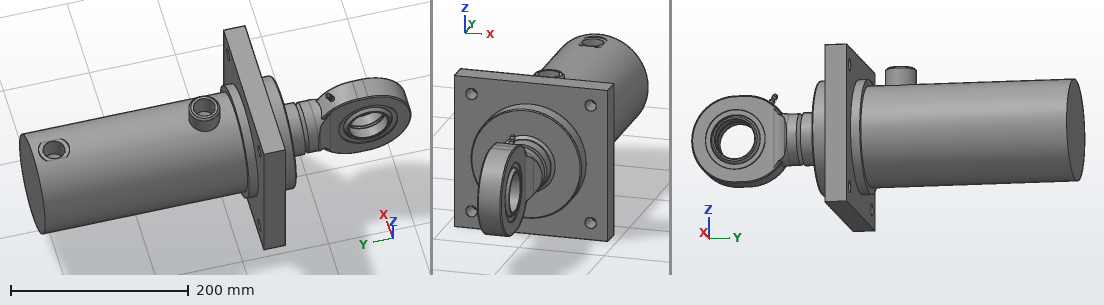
import cadquery as cq
import math

LENGTH = 437.0

EYE_RADIUS = 100.0 / 2
EYE_WIDTH = 28.0
EYE_STRETCH = 12.0
EYE_CHAMFER = 1.5
SHANK_RADIUS = 58.0 / 2
NECK_Y = 61.5
NECK_END_RADIUS = 31.0
WELD_CHAMFER = 5.0
NECK_BALL_RADIUS = EYE_RADIUS - EYE_CHAMFER
FLARE_START_Y = 44.0
FLARE_RADIUS = 16.5
FLARE_ANGLE = math.radians(53)

BEARING_SEAT_DIAMETER = 68.0
BEARING_SEAT_DEPTH = 1.55
SPHERE_RADIUS = 60.0 / 2
RACE_MOUTH_RADIUS = 57.0 / 2
RACE_MOUTH_DEPTH = 1.7
INNER_RING_WIDTH = 32.0
BORE_DIAMETER = 45.0
BORE_CHAMFER = 1.0
OIL_GROOVE_WIDTH = 3.0
OIL_GROOVE_DEPTH = 1.0

NIPPLE_ANGLE = 58.0
NIPPLE_BASE_RADIUS = 6.0 / 2
NIPPLE_NECK_RADIUS = 3.6 / 2
NIPPLE_HEAD_RADIUS = 5.5 / 2
NIPPLE_TIP_RADIUS = 3.0 / 2
NIPPLE_BASE_HEIGHT = 3.5
NIPPLE_NECK_HEIGHT = 6.0
NIPPLE_HEAD_HEIGHT = 9.0
NIPPLE_HEIGHT = 11.5

ROD_RADIUS = 60.0 / 2
ROD_FRONT_Y = 77.5

TUBE_RADIUS = 115.0 / 2
TUBE_END_Y = LENGTH - EYE_RADIUS
COLLAR_RADIUS = 130.0 / 2
COLLAR_FRONT_Y = 96.5
COLLAR_LENGTH = 55.0
COLLAR_CHAMFER = 1.5
WIPER_BASE_RADIUS = 68.0 / 2
WIPER_LIP_RADIUS = 30.5
WIPER_LENGTH = 3.5
PLATE_SIDE = 180.0
PLATE_FRONT_Y = 116.2
PLATE_THICKNESS = 25.0
BOLT_SPACING = 140.0
BOLT_HOLE_DIAMETER = 13.0
CHAMBER_RADIUS = 100.0 / 2
CHAMBER_FRONT_Y = 190.5
END_CAP_THICKNESS = 41.5
CHAMBER_BACK_Y = TUBE_END_Y - END_CAP_THICKNESS

PORT_BOSS_DIAMETER = 35.0
PORT_BOSS_CHAMFER = 2.0
PORT_HOLE_RADIUS = 24.5 / 2
PORT_HOLE_DEPTH = 24.0
DRILL_HALF_ANGLE = math.radians(59)
FRONT_PORT_Y = 187.0
FRONT_PORT_TOP_Z = 77.0
BACK_PORT_Y = 362.0
BACK_PORT_FLAT_DEPTH = 1.55
BACK_PORT_FLAT_Z = TUBE_RADIUS - BACK_PORT_FLAT_DEPTH


def cylinder_along_y(radius, start_y, end_y):
    return cq.Workplane("XZ", origin=(0, start_y, 0)).circle(radius).extrude(start_y - end_y)


def revolve_about_y(points):
    """Revolve an outline of (radius, y) points about the Y axis."""
    return cq.Workplane("XY").polyline(points).close().revolve(360, (0, 0, 0), (0, 1, 0))


def port_drill(port_y, top_z):
    """Blind port hole with a conical bottom."""
    cone_z = top_z - PORT_HOLE_DEPTH
    tip_z = cone_z - PORT_HOLE_RADIUS / math.tan(DRILL_HALF_ANGLE)
    outline = [(0, top_z), (PORT_HOLE_RADIUS, top_z), (PORT_HOLE_RADIUS, cone_z), (0, tip_z)]
    drill = cq.Workplane("XZ").polyline(outline).close().revolve(360, (0, 0, 0), (0, 1, 0))
    return drill.translate((0, port_y, 0))


def mounting_plate():
    plate = cq.Workplane("XZ", origin=(0, PLATE_FRONT_Y, 0))
    plate = plate.rect(PLATE_SIDE, PLATE_SIDE).extrude(-PLATE_THICKNESS)
    holes = (
        cq.Workplane("XZ", origin=(0, PLATE_FRONT_Y, 0))
        .rect(BOLT_SPACING, BOLT_SPACING, forConstruction=True)
        .vertices()
        .circle(BOLT_HOLE_DIAMETER / 2)
        .extrude(-PLATE_THICKNESS)
    )
    return plate.cut(holes)


def make_housing():
    tube = cylinder_along_y(TUBE_RADIUS, COLLAR_FRONT_Y, TUBE_END_Y)
    collar = cylinder_along_y(COLLAR_RADIUS, COLLAR_FRONT_Y, COLLAR_FRONT_Y + COLLAR_LENGTH)
    collar = collar.faces("<Y").chamfer(COLLAR_CHAMFER)
    wiper_lip_y = COLLAR_FRONT_Y - WIPER_LENGTH
    wiper = revolve_about_y([
        (0, wiper_lip_y),
        (WIPER_LIP_RADIUS, wiper_lip_y),
        (WIPER_BASE_RADIUS, COLLAR_FRONT_Y),
        (0, COLLAR_FRONT_Y),
    ])
    boss = (
        cq.Workplane("XY")
        .center(0, FRONT_PORT_Y)
        .circle(PORT_BOSS_DIAMETER / 2)
        .extrude(FRONT_PORT_TOP_Z)
        .faces(">Z")
        .chamfer(PORT_BOSS_CHAMFER)
    )
    back_port_flat = (
        cq.Workplane("XY", origin=(0, BACK_PORT_Y, BACK_PORT_FLAT_Z))
        .circle(PORT_BOSS_DIAMETER / 2)
        .extrude(BACK_PORT_FLAT_DEPTH)
    )
    housing = tube.union(collar).union(wiper).union(mounting_plate()).union(boss)
    housing = housing.cut(cylinder_along_y(ROD_RADIUS, wiper_lip_y, CHAMBER_BACK_Y))
    housing = housing.cut(cylinder_along_y(CHAMBER_RADIUS, CHAMBER_FRONT_Y, CHAMBER_BACK_Y))
    housing = housing.cut(port_drill(FRONT_PORT_Y, FRONT_PORT_TOP_Z))
    housing = housing.cut(back_port_flat)
    return housing.cut(port_drill(BACK_PORT_Y, BACK_PORT_FLAT_Z))


def make_rod():
    return cylinder_along_y(ROD_RADIUS, ROD_FRONT_Y, CHAMBER_BACK_Y)


def eye_plate():
    """Flat eye whose outline is two half circles joined by short straight sides."""
    slot_centre_y = EYE_STRETCH / 2
    slot_length = EYE_STRETCH + 2 * EYE_RADIUS
    plate = cq.Workplane("YZ").center(slot_centre_y, 0).slot2D(slot_length, 2 * EYE_RADIUS)
    plate = plate.extrude(EYE_WIDTH / 2, both=True)
    return plate.faces("<X or >X").chamfer(EYE_CHAMFER)


def eye_shank():
    """Round shank that flares down to the flat faces of the eye."""
    half_width = EYE_WIDTH / 2
    mid_angle = FLARE_ANGLE / 2

    def flare_point(angle):
        return (
            half_width + FLARE_RADIUS * (1 - math.cos(angle)),
            FLARE_START_Y + FLARE_RADIUS * math.sin(angle),
        )

    shank = revolve_about_y([
        (0, ROD_FRONT_Y),
        (SHANK_RADIUS - WELD_CHAMFER, ROD_FRONT_Y),
        (SHANK_RADIUS, ROD_FRONT_Y - WELD_CHAMFER),
        (SHANK_RADIUS, NECK_Y),
        (NECK_END_RADIUS, FLARE_START_Y),
        (0, FLARE_START_Y),
    ])
    ball = cq.Workplane("XY").sphere(NECK_BALL_RADIUS).translate((0, EYE_STRETCH, 0))
    profile = (
        cq.Workplane("XY", origin=(0, 0, -EYE_RADIUS))
        .moveTo(0, FLARE_START_Y)
        .lineTo(half_width, FLARE_START_Y)
        .threePointArc(flare_point(mid_angle), flare_point(FLARE_ANGLE))
        .lineTo(SHANK_RADIUS, NECK_Y)
        .lineTo(SHANK_RADIUS, ROD_FRONT_Y)
        .lineTo(0, ROD_FRONT_Y)
        .mirrorY()
        .extrude(2 * EYE_RADIUS)
    )
    return shank.union(ball).intersect(profile)


def bearing():
    """Spherical bearing as one ring: recessed outer race, proud inner ring and grooved bore."""
    race_x = EYE_WIDTH / 2 - BEARING_SEAT_DEPTH
    mouth_x = race_x - RACE_MOUTH_DEPTH
    ring_x = INNER_RING_WIDTH / 2
    bore_radius = BORE_DIAMETER / 2
    groove_radius = bore_radius + OIL_GROOVE_DEPTH

    def sphere_point(x):
        return (x, math.sqrt(SPHERE_RADIUS**2 - x**2))

    return (
        cq.Workplane("XY")
        .moveTo(0, groove_radius)
        .lineTo(OIL_GROOVE_WIDTH / 2, groove_radius)
        .lineTo(OIL_GROOVE_WIDTH / 2, bore_radius)
        .lineTo(ring_x - BORE_CHAMFER, bore_radius)
        .lineTo(ring_x, bore_radius + BORE_CHAMFER)
        .lineTo(*sphere_point(ring_x))
        .threePointArc(sphere_point((ring_x + mouth_x) / 2), sphere_point(mouth_x))
        .lineTo(race_x, RACE_MOUTH_RADIUS)
        .lineTo(race_x, BEARING_SEAT_DIAMETER / 2)
        .lineTo(0, BEARING_SEAT_DIAMETER / 2)
        .mirrorY()
        .revolve(360, (0, 0, 0), (1, 0, 0))
    )


def grease_nipple():
    """Nipple standing on the eye rim, square to the arc nearest the shank."""
    nipple = revolve_about_y([
        (0, EYE_RADIUS - NIPPLE_BASE_HEIGHT),
        (NIPPLE_BASE_RADIUS, EYE_RADIUS - NIPPLE_BASE_HEIGHT),
        (NIPPLE_BASE_RADIUS, EYE_RADIUS + NIPPLE_BASE_HEIGHT),
        (NIPPLE_NECK_RADIUS, EYE_RADIUS + NIPPLE_BASE_HEIGHT),
        (NIPPLE_NECK_RADIUS, EYE_RADIUS + NIPPLE_NECK_HEIGHT),
        (NIPPLE_HEAD_RADIUS, EYE_RADIUS + NIPPLE_NECK_HEIGHT),
        (NIPPLE_HEAD_RADIUS, EYE_RADIUS + NIPPLE_HEAD_HEIGHT),
        (NIPPLE_TIP_RADIUS, EYE_RADIUS + NIPPLE_HEIGHT),
        (0, EYE_RADIUS + NIPPLE_HEIGHT),
    ])
    nipple = nipple.rotate((0, 0, 0), (1, 0, 0), NIPPLE_ANGLE)
    return nipple.translate((0, EYE_STRETCH, 0))


def make_rod_eye():
    seat = cq.Workplane("YZ").circle(BEARING_SEAT_DIAMETER / 2).extrude(EYE_WIDTH / 2, both=True)
    eye = eye_plate().union(eye_shank()).cut(seat)
    return eye.union(bearing()).union(grease_nipple())


housing = make_housing()
rod = make_rod()
rod_eye = make_rod_eye()

result = cq.Compound.makeCompound([
    housing.solids().val(),
    rod.solids().val(),
    rod_eye.solids().val(),
])